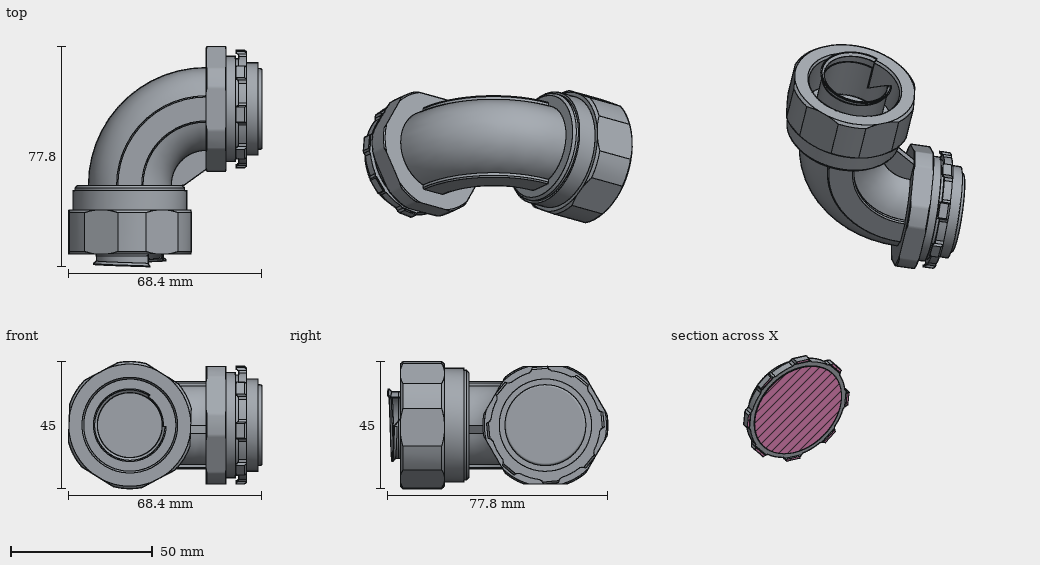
import cadquery as cq
import math


bend_radius = 26.9
tube_radius = 14.6
pad_height = 15.4
pad_shoulder_height = 14.9
pad_top_half_width = 4.2
pad_foot_half_width = 4.7

web_bottom, web_top = -2.9, -0.15
web_foot_x = 19.15
web_foot_y = -21.3

shoulder_radius = 19.4
shoulder_chamfer = 0.9
sleeve_start = 28.8
sleeve_radius = 20.15
nut_start = 35.65
nut_end = 51.2
nut_flats = 42.95
nut_corner_radius = 22.5
nut_chamfer = 0.9
nut_turn = 2.0
nut_bore_floor = 36.6
nut_bore_radius = 16.3
nut_mouth_radius = 16.9
nut_mouth_depth = 0.9

ferrule_outer_radius = 23.7 / 2
ferrule_inner_radius = 22.9 / 2
ferrule_straight_end = 51.8
lip_wall_inset = 0.04
flare_radius = 12.85
flare_length = 1.25
flare_edge = 0.3
helix_start_angle = -2.0
helix_end_angle = 56.5
lip_start = 53.55
lip_end = 55.7
notch_bottom = 42.5

collar_end = 34.0
collar_flats = 41.55
collar_corner_radius = 22.1
collar_corner_blend = 2.5
collar_chamfer_radial = 0.55
collar_chamfer_axial = 0.3
flange_end = 37.3
flange_radius = 18.6
neck_radius = 17.75
locknut_start = 38.4
locknut_end = 41.25
locknut_radius = 19.3
thread_end = 45.3
thread_radius = 32.6 / 2
tip_end = 46.7
tip_radius = 28.55 / 2
tip_round = 0.8

claw_count = 8
claw_turn = 5.5
claw_height = 20.6
claw_start = 37.5
claw_thickness = 0.7
claw_root_blend = 0.55
claw_bevel = 0.7
claw_top_half_width = 2.65
claw_edge_height = 19.7
claw_edge_half_width = 3.0
claw_foot_half_width = 3.9

overlap = 0.8


def x_disc(start, end, radius):
    return cq.Workplane("YZ").workplane(offset=start).circle(radius).extrude(end - start)


def y_disc(start, end, radius):
    return cq.Workplane("XZ").workplane(offset=start).circle(radius).extrude(end - start)


def rounded_hexagon(length, flats, corner_radius):
    """Hexagonal prism along Z, flats facing +X and -X, with its corners turned down to a cylinder."""
    prism = cq.Workplane("XY").polygon(6, flats, circumscribed=True).extrude(length)
    return prism.intersect(cq.Workplane("XY").circle(corner_radius).extrude(length))


def end_trim(length, radius, radial, axial):
    """Cylinder along Z with both end edges chamfered, used to trim a nut."""
    profile = [
        (0, 0), (radius - radial, 0), (radius, axial), (radius, length - axial),
        (radius - radial, length), (0, length),
    ]
    return cq.Workplane("XZ").polyline(profile).close().revolve(360, (0, 0), (0, 1))


def along_minus_y(body, start):
    """Lay a body built along Z onto the compression arm."""
    return body.rotate((0, 0, 0), (1, 0, 0), 90).translate((0, -start, 0))


def along_plus_x(body, start):
    """Lay a body built along Z onto the threaded arm."""
    return body.rotate((0, 0, 0), (0, 1, 0), 90).translate((start, 0, 0))


def bend(section):
    """Turn a section lying in the XZ plane through the quarter circle of the elbow."""
    return section.revolve(90, (bend_radius, 0), (bend_radius, -1))


def elbow():
    arm_end = cq.Workplane("XZ").workplane(offset=bend_radius)
    body = bend(arm_end.circle(tube_radius))
    pad = arm_end.polyline([
        (-pad_foot_half_width, -pad_shoulder_height),
        (-pad_top_half_width, -pad_height),
        (pad_top_half_width, -pad_height),
        (pad_foot_half_width, -pad_shoulder_height),
        (pad_foot_half_width, pad_shoulder_height),
        (pad_top_half_width, pad_height),
        (-pad_top_half_width, pad_height),
        (-pad_foot_half_width, pad_shoulder_height),
    ]).close()
    return body.union(bend(pad))


def gusset():
    root = bend_radius - tube_radius
    outline = [
        (root, -bend_radius), (web_foot_x, -bend_radius), (bend_radius, web_foot_y),
        (bend_radius, -root), (root, -root),
    ]
    plane = cq.Workplane("XY").workplane(offset=web_bottom)
    return plane.polyline(outline).close().extrude(web_top - web_bottom)


def compression_arm():
    shoulder = y_disc(bend_radius, sleeve_start, shoulder_radius).faces(">Y").chamfer(shoulder_chamfer)
    sleeve = y_disc(sleeve_start, nut_start, sleeve_radius)
    length = nut_end - nut_start
    nut = rounded_hexagon(length, nut_flats, nut_corner_radius)
    nut = nut.intersect(end_trim(length, nut_corner_radius, nut_chamfer, nut_chamfer))
    nut = along_minus_y(nut.rotate((0, 0, 0), (0, 0, 1), -nut_turn), nut_start)
    bore = y_disc(nut_bore_floor, nut_end, nut_bore_radius)
    mouth = cq.Workplane("XY").polyline([
        (0, -nut_end),
        (nut_mouth_radius, -nut_end),
        (nut_bore_radius, nut_mouth_depth - nut_end),
        (0, nut_mouth_depth - nut_end),
    ]).close().revolve(360, (0, 0), (0, 1))
    return shoulder.union(sleeve).union(nut).cut(bore).cut(mouth)


def ring(height, inner_radius, outer_radius):
    return cq.Workplane("XY").circle(outer_radius).circle(inner_radius).extrude(height)


def ferrule():
    """Thin tube whose flared end climbs one open turn, with a slanted notch across the opening."""
    gap = helix_end_angle - helix_start_angle
    lip_turn = 360 - gap
    rise = lip_end - lip_start
    wall = ferrule_outer_radius - ferrule_inner_radius
    lip_inner = ferrule_inner_radius + lip_wall_inset
    lip_outer = ferrule_outer_radius - lip_wall_inset

    root = nut_bore_floor - overlap
    tube = ring(ferrule_straight_end - root, ferrule_inner_radius, ferrule_outer_radius)

    lip_height = lip_start - root
    flare_foot = lip_height - flare_length
    lip_root = ferrule_straight_end - root - rise - overlap
    profile = [
        (lip_inner, lip_root),
        (lip_outer, lip_root),
        (lip_outer, flare_foot),
        (flare_radius, lip_height - flare_edge),
        (flare_radius, lip_height),
        (flare_radius - wall, lip_height),
        (lip_inner, flare_foot + wall),
    ]
    path = cq.Wire.makeHelix(rise * 360 / lip_turn, rise, ferrule_outer_radius, lefthand=True)
    lip = cq.Workplane("XZ").polyline(profile).close().sweep(cq.Workplane(path), isFrenet=True)

    bridge = cq.Workplane("XZ").center(lip_inner, lip_root)
    bridge = bridge.rect(lip_outer - lip_inner, lip_height - lip_root, centered=False)
    bridge = bridge.revolve(gap, (-lip_inner, 0), (-lip_inner, 1))
    half_width = ferrule_outer_radius * math.sin(math.radians(gap / 2))
    low = notch_bottom - root
    margin = overlap * (lip_height - low) / (2 * half_width)
    notch = cq.Workplane("YZ").polyline([
        (-half_width - overlap, lip_height + margin),
        (half_width, lip_height + margin),
        (half_width, low),
    ]).close().extrude(flare_radius)
    notch = notch.rotate((0, 0, 0), (0, 0, 1), gap / 2)

    body = tube.union(bridge).cut(notch).union(lip)
    return along_minus_y(body.rotate((0, 0, 0), (0, 0, 1), helix_start_angle), root)


def collar():
    length = collar_end - bend_radius
    nut = rounded_hexagon(length, collar_flats, collar_corner_radius)
    nut = nut.edges("|Z").fillet(collar_corner_blend)
    trim = end_trim(length, collar_corner_radius, collar_chamfer_radial, collar_chamfer_axial)
    return along_plus_x(nut.intersect(trim), bend_radius)


def claw():
    """One bent claw of the locknut, pointing along +Z and overhanging towards the collar."""
    side = cq.Workplane("XZ").polyline([
        (claw_start, claw_height),
        (locknut_end - claw_bevel, claw_height),
        (locknut_end, claw_height - claw_bevel),
        (locknut_end, thread_radius),
        (locknut_start, thread_radius),
        (locknut_start, claw_height - claw_thickness - claw_root_blend),
        (locknut_start - claw_root_blend, claw_height - claw_thickness),
        (claw_start, claw_height - claw_thickness),
    ]).close().extrude(claw_height, both=True)
    foot_height = locknut_radius * math.cos(math.asin(claw_foot_half_width / locknut_radius))
    front = cq.Workplane("YZ").polyline([
        (-claw_foot_half_width, thread_radius),
        (-claw_foot_half_width, foot_height),
        (-claw_edge_half_width, claw_edge_height),
        (-claw_top_half_width, claw_height),
        (claw_top_half_width, claw_height),
        (claw_edge_half_width, claw_edge_height),
        (claw_foot_half_width, foot_height),
        (claw_foot_half_width, thread_radius),
    ]).close().extrude(tip_end)
    return side.intersect(front)


def locknut():
    body = x_disc(locknut_start, locknut_end, locknut_radius)
    for index in range(claw_count):
        turn = claw_turn + index * 360 / claw_count
        body = body.union(claw().rotate((0, 0, 0), (1, 0, 0), turn))
    return body


def threaded_arm():
    tip = x_disc(thread_end, tip_end, tip_radius).faces(">X").edges().fillet(tip_round)
    arm = collar().union(x_disc(collar_end, flange_end, flange_radius))
    arm = arm.union(x_disc(flange_end, locknut_start, neck_radius)).union(locknut())
    return arm.union(x_disc(locknut_end, thread_end, thread_radius)).union(tip)


result = elbow().union(gusset()).union(compression_arm()).union(ferrule()).union(threaded_arm())